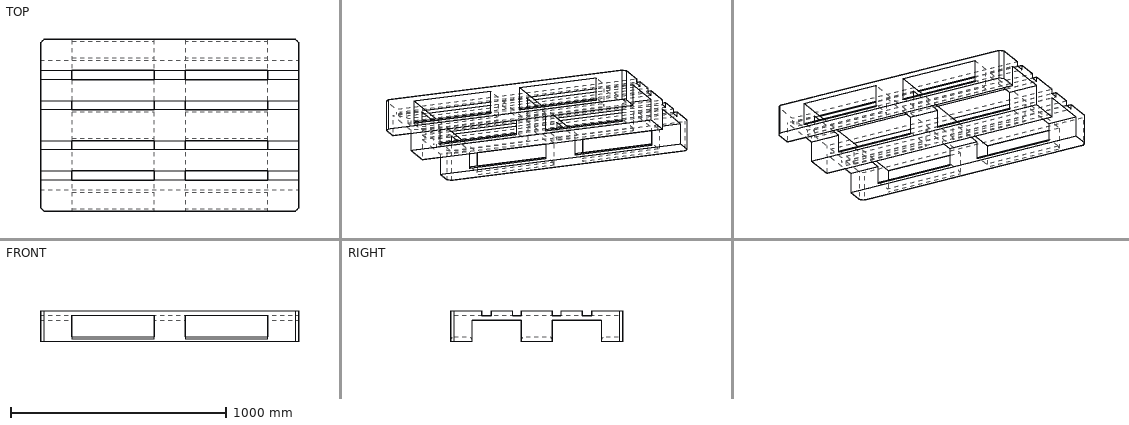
import cadquery as cq

length = 1200.0
width = 800.0
height = 144.0

board_thickness = 23.0
stringer_thickness = 22.0
wide_board = 145.0
narrow_board = 100.0
block_length = 145.0
outer_runner_width = 100.0
inner_deck_gap = 40.0

corner_cut = 17.0
runner_edge_bevel = 11.0

deck_bottom = height - board_thickness
stringer_bottom = deck_bottom - stringer_thickness
block_centers_x = [side * (length - block_length) / 2 for side in (-1, 0, 1)]
outer_runner_y = (width - outer_runner_width) / 2
narrow_board_y = (wide_board + narrow_board) / 2 + inner_deck_gap
outer_board_y = (width - wide_board) / 2


def block(x, y, size_x, size_y, bottom, top):
    """Rectangular timber centred at x, y between two heights."""
    return (
        cq.Workplane("XY")
        .box(size_x, size_y, top - bottom, centered=(True, True, False))
        .translate((x, y, bottom))
    )


def deck_boards():
    """Five lengthwise boards on top."""
    boards = block(0, 0, length, wide_board, deck_bottom, height)
    for side in (-1, 1):
        for y, board_width in ((narrow_board_y, narrow_board), (outer_board_y, wide_board)):
            boards = boards.union(block(0, side * y, length, board_width, deck_bottom, height))
    return boards


def stringers():
    """Three crosswise boards carrying the deck."""
    boards = cq.Workplane("XY")
    for x in block_centers_x:
        boards = boards.add(block(x, 0, block_length, width, stringer_bottom, deck_bottom))
    return boards.combine()


def runner(y, runner_width):
    """Bottom board with three blocks; its upper edges are bevelled between blocks."""
    body = (
        block(0, y, length, runner_width, 0, board_thickness)
        .edges("|X and >Z")
        .chamfer(runner_edge_bevel)
    )
    for x in block_centers_x:
        body = body.union(block(x, y, block_length, runner_width, 0, stringer_bottom))
    return body


def corner_trimmed_envelope():
    """Full pallet envelope with its four upright corners cut off."""
    return block(0, 0, length, width, 0, height).edges("|Z").chamfer(corner_cut)


result = deck_boards().union(stringers())
for runner_y, runner_width in (
    (-outer_runner_y, outer_runner_width),
    (0, wide_board),
    (outer_runner_y, outer_runner_width),
):
    result = result.union(runner(runner_y, runner_width))
result = result.intersect(corner_trimmed_envelope())